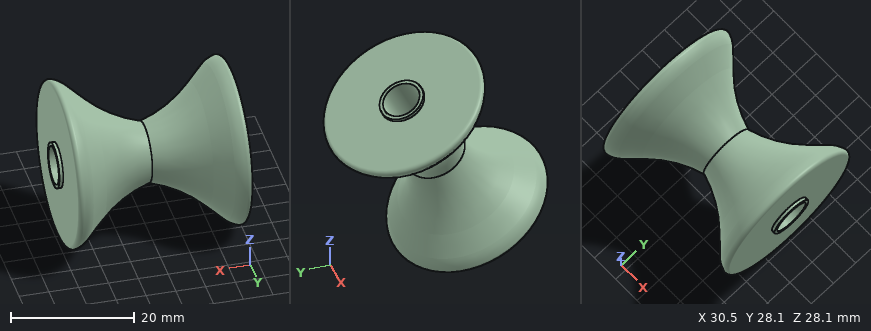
import cadquery as cq
import math

length = 30.48
rim_radius = 14.035
waist_radius = 5.12
hub_radius = 3.8
hub_projection = 0.6
bore_radius = 3.2

edge_radius = 0.67
edge_depth = 0.85
shoulder_depth = 2.75
flank_depth = 5.67
flank_angle = math.radians(43.3)

face_x = -length / 2 + hub_projection

edge_end_angle = math.asin((edge_depth - edge_radius) / edge_radius)
edge_center_radius = rim_radius - edge_radius
edge_end_radius = edge_center_radius + edge_radius * math.cos(edge_end_angle)

shoulder_arc_radius = (shoulder_depth - edge_depth) / (math.sin(flank_angle) - math.sin(edge_end_angle))
shoulder_drop = shoulder_arc_radius * (math.cos(edge_end_angle) - math.cos(flank_angle))
shoulder_end_radius = edge_end_radius - shoulder_drop
flank_end_radius = shoulder_end_radius - (flank_depth - shoulder_depth) * math.tan(flank_angle)


def half_roller():
    """Revolve the -X half: hub, rim, shoulder, flank and concave throat."""
    profile = (
        cq.Workplane("XY")
        .moveTo(0, bore_radius)
        .lineTo(-length / 2, bore_radius)
        .lineTo(-length / 2, hub_radius)
        .lineTo(face_x, hub_radius)
        .lineTo(face_x, edge_center_radius)
        .tangentArcPoint((face_x + edge_depth, edge_end_radius), relative=False)
        .tangentArcPoint((face_x + shoulder_depth, shoulder_end_radius), relative=False)
        .lineTo(face_x + flank_depth, flank_end_radius)
        .tangentArcPoint((0, waist_radius), relative=False)
        .close()
    )
    return profile.revolve(360, (0, 0, 0), (1, 0, 0))


left_half = half_roller()
result = left_half.union(left_half.mirror("YZ"))